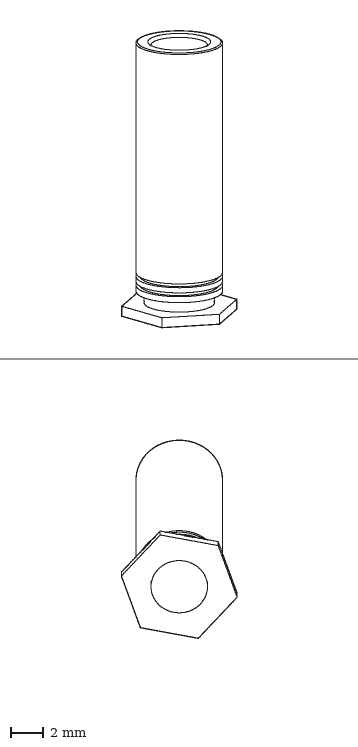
import cadquery as cq
import math

total_height = 17.46
hex_across_flats = 6.35
hex_across_corners = hex_across_flats / math.cos(math.pi / 6)

barrel_diameter = 5.4
groove_diameter = 4.87
neck_diameter = 4.36
bore_diameter = 3.51
bore_mouth_diameter = 3.91

head_top = 0.65
neck_top = 1.4
groove_spans = [(1.78, 2.03), (2.35, 2.6)]

rim_chamfer_width = 0.1
rim_chamfer_height = 0.07


def disc(diameter, bottom, top):
    """Solid round section between two heights on the Z axis."""
    return cq.Workplane("XY").workplane(offset=bottom).circle(diameter / 2).extrude(top - bottom)


def ring_groove(bottom, top):
    """Ring of material to remove for one groove around the barrel."""
    return disc(barrel_diameter, bottom, top).cut(disc(groove_diameter, bottom, top))


head = cq.Workplane("XY").polygon(6, hex_across_corners).extrude(head_top)
neck = disc(neck_diameter, head_top, neck_top)

barrel = (
    disc(barrel_diameter, neck_top, total_height)
    .faces(">Z")
    .edges()
    .chamfer(rim_chamfer_height, rim_chamfer_width)
)
for groove_bottom, groove_top in groove_spans:
    barrel = barrel.cut(ring_groove(groove_bottom, groove_top))

body = head.union(neck).union(barrel)

bore = disc(bore_diameter, 0, total_height)
lead_in = (bore_mouth_diameter - bore_diameter) / 2
bore_mouth = (
    cq.Workplane("XY")
    .workplane(offset=total_height)
    .circle(bore_mouth_diameter / 2)
    .workplane(offset=-lead_in)
    .circle(bore_diameter / 2)
    .loft(ruled=True)
)

result = body.cut(bore).cut(bore_mouth)